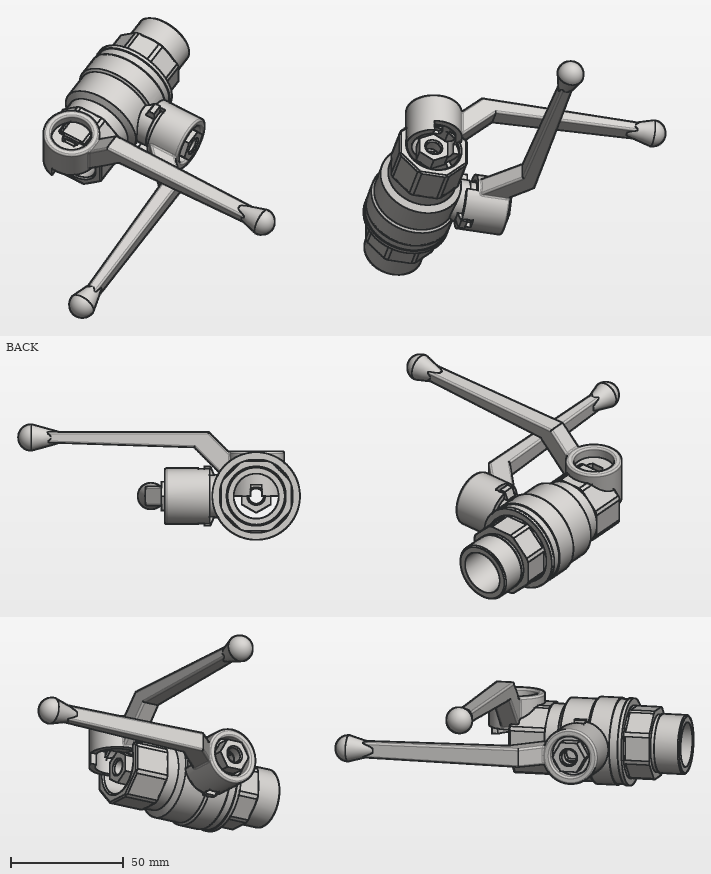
import cadquery as cq
import math


female_end_y = -34.7
female_octagon_y = -18.2
neck_y = -12.4
shoulder_y = -10.5
barrel_y = 2.0
collar_y = 3.0
band_y = 12.5
joint_y = 16.4
flange_y = 18.2
male_octagon_y = 30.0
relief_y = 31.6
male_end_y = 43.0

flow_bore_d = 20.0
thread_bore_d = 24.1
thread_bore_depth = 14.9
thread_bore_chamfer = 0.7
neck_d = 31.0
barrel_d = 37.0
band_d = 38.0
collar_d = 39.0
nipple_d = 26.5
relief_d = 25.9
nipple_chamfer = 0.6

octagon_flats = neck_d
octagon_corner_d = 32.8
octagon_bevel = 0.7

boss_d = 19.0
boss_tip_d = 18.0
boss_step_x = 23.1
lug_width = 5.0
lug_reach = 13.3
lug_crest_x = 20.4
lug_root_x = 18.2
lug_root_z = 8.2

cap_d = 25.0
cap_height = 20.0
floor_thickness = 5.0
recess_depth = 4.9
recess_d = 18.0
rim_fillet = 0.9
skirt_bore_d = 19.7
skirt_bore_depth = cap_height - recess_depth - floor_thickness
notch_height = 5.0
notch_offset = lug_width / 2
stem_hole_d = 8.0
stem_hole_flats = 5.5

arm_root_u = 10.7
arm_top_w = 28.6
arm_upper_bend_u = 21.2
arm_lower_bend_u = 27.5
arm_lower_bend_w = 21.6
arm_end_u = 95.3
arm_end_w = 23.8
arm_root_width = 8.8
arm_end_width = 7.0
arm_fillet = 0.9

knob_d = 11.9
knob_end_u = 105.9
knob_w = 26.0
knob_neck_u = 88.2
knob_neck_d = 5.4

nut_flats = 13.0
nut_height = 6.4
nut_hole_d = 6.7
nut_hole_mouth_d = 8.0

handle_x = 20.7
spare_handle_y = -34.9
fitted_handle_plane = cq.Plane(origin=(handle_x, 0, 0), xDir=(0, -1, 0), normal=(1, 0, 0))
spare_handle_plane = cq.Plane(origin=(0, spare_handle_y, 0), xDir=(1, 0, 0), normal=(0, 0, 1))

cap_floor_w = cap_height - recess_depth
fitted_nut_plane = cq.Plane(origin=(handle_x + cap_floor_w, 0, 0), xDir=(0, 1, 0), normal=(1, 0, 0))
spare_nut_plane = cq.Plane(origin=(0, female_end_y, 0), xDir=(0, 0, 1), normal=(0, 1, 0))


def turned(profile):
    """Solid of revolution about Y from (diameter, y) points, closed along the axis."""
    points = [(diameter / 2, y) for diameter, y in profile]
    outline = [(0, points[0][1])] + points + [(0, points[-1][1])]
    return cq.Workplane("XY").polyline(outline).close().revolve(360, (0, 0), (0, 1))


def octagon(flats_start, flats_end, y_start, y_end):
    """Octagonal prism or frustum along Y, with a flat on top."""
    to_corner = 1 / math.cos(math.pi / 8)
    plane = cq.Plane(origin=(0, y_start, 0), xDir=(1, 0, 0), normal=(0, 1, 0))
    start = cq.Workplane(plane.rotated((0, 0, 180 / 8))).polygon(8, flats_start * to_corner)
    end = start.workplane(offset=y_end - y_start).polygon(8, flats_end * to_corner)
    return end.loft(ruled=True)


def turned_corners(y_start, y_end):
    """Round blank that limits the corners of an octagon."""
    return turned([(octagon_corner_d, y_start), (octagon_corner_d, y_end)])


def make_housing():
    body = turned([
        (neck_d, female_octagon_y),
        (neck_d, neck_y),
        (barrel_d, shoulder_y),
        (barrel_d, barrel_y),
        (collar_d, collar_y),
        (collar_d, band_y),
        (band_d, band_y),
        (band_d, joint_y),
    ])

    bevel_y = female_end_y + octagon_bevel
    grip = octagon(octagon_flats, octagon_flats, bevel_y, female_octagon_y)
    end_flats = octagon_flats - 2 * octagon_bevel
    grip = grip.union(octagon(end_flats, octagon_flats, female_end_y, bevel_y))
    body = body.union(grip.intersect(turned_corners(female_end_y, female_octagon_y)))

    boss_end_x = handle_x + skirt_bore_depth
    boss = cq.Workplane("YZ").circle(boss_d / 2).extrude(boss_step_x)
    boss = boss.union(cq.Workplane("YZ").circle(boss_tip_d / 2).extrude(boss_end_x))

    lug_outline = [
        (lug_root_x, lug_root_z),
        (lug_crest_x, lug_reach),
        (boss_step_x, lug_reach),
        (boss_step_x, lug_root_z),
    ]
    lug = cq.Workplane("XZ").polyline(lug_outline).close().extrude(lug_width / 2, both=True)
    body = body.union(boss).union(lug).union(lug.mirror("XY"))

    mouth_d = thread_bore_d + 2 * thread_bore_chamfer
    bore = turned([
        (mouth_d, female_end_y),
        (thread_bore_d, female_end_y + thread_bore_chamfer),
        (thread_bore_d, female_end_y + thread_bore_depth),
        (flow_bore_d, female_end_y + thread_bore_depth),
        (flow_bore_d, joint_y),
    ])
    return body.cut(bore)


def make_end_piece():
    body = turned([
        (collar_d, joint_y),
        (collar_d, flange_y),
        (relief_d, flange_y),
        (relief_d, relief_y),
        (nipple_d, relief_y),
        (nipple_d, male_end_y - nipple_chamfer),
        (nipple_d - 2 * nipple_chamfer, male_end_y),
    ])

    flare_y = flange_y + octagon_bevel
    grip = octagon(octagon_flats, octagon_flats, flare_y, male_octagon_y)
    root_flats = octagon_flats + 2 * octagon_bevel
    grip = grip.union(octagon(root_flats, octagon_flats, flange_y, flare_y))
    body = body.union(grip.intersect(turned_corners(flange_y, male_octagon_y)))

    return body.cut(turned([(flow_bore_d, joint_y), (flow_bore_d, male_end_y)]))


def make_arm():
    """Cranked arm: a 45 degree rise, then a straight grip that tapers both ways."""
    rise = arm_upper_bend_u - arm_root_u
    drop = arm_lower_bend_u - arm_root_u
    side_outline = [
        (arm_root_u, arm_top_w - rise),
        (arm_upper_bend_u, arm_top_w),
        (arm_end_u, arm_top_w),
        (arm_end_u, arm_end_w),
        (arm_lower_bend_u, arm_lower_bend_w),
        (arm_root_u, arm_lower_bend_w - drop),
    ]
    width_outline = [
        (arm_root_u, -arm_root_width / 2),
        (arm_end_u, -arm_end_width / 2),
        (arm_end_u, arm_end_width / 2),
        (arm_root_u, arm_root_width / 2),
    ]
    side = cq.Workplane("XZ").polyline(side_outline).close().extrude(arm_root_width, both=True)
    plan = cq.Workplane("XY").polyline(width_outline).close().extrude(arm_top_w)
    arm = side.intersect(plan)
    return arm.faces("<Y or >Y").edges().fillet(arm_fillet)


def make_knob():
    """Ball on a cone that grows out of the end of the arm."""
    radius = knob_d / 2
    centre_u = knob_end_u - radius
    arc_mid = (centre_u + radius * math.sqrt(0.5), knob_w + radius * math.sqrt(0.5))
    outline = (
        cq.Workplane("XZ")
        .moveTo(knob_neck_u, knob_w)
        .lineTo(knob_neck_u, knob_w + knob_neck_d / 2)
        .lineTo(centre_u, knob_w + radius)
        .threePointArc(arc_mid, (knob_end_u, knob_w))
        .close()
    )
    return outline.revolve(360, (0, knob_w), (1, knob_w))


def make_handle():
    cap = cq.Workplane("XY").circle(cap_d / 2).extrude(cap_height)
    cap = cap.cut(cq.Workplane("XY").workplane(offset=cap_floor_w).circle(recess_d / 2).extrude(recess_depth))
    cap = cap.faces(">Z").edges().fillet(rim_fillet)
    handle = cap.union(make_arm())

    low_corner = (arm_root_u, -arm_root_width, 0)
    high_corner = (cap_d / 2, arm_root_width, cap_height)
    arm_root = cq.selectors.BoxSelector(low_corner, high_corner)
    handle = handle.edges("|Z").edges(arm_root).fillet(arm_fillet)
    handle = handle.union(make_knob())

    handle = handle.cut(cq.Workplane("XY").circle(skirt_bore_d / 2).extrude(skirt_bore_depth))

    notch = cq.Workplane("XY").box(cap_d, cap_d, notch_height, centered=False)
    handle = handle.cut(notch.translate((-notch_offset, notch_offset - cap_d, 0)))
    slot = cq.Workplane("XY").box(2 * notch_offset, cap_d, notch_height, centered=(True, False, False))
    handle = handle.cut(slot)

    flats = cq.Workplane("XY").rect(stem_hole_d, stem_hole_flats).extrude(cap_height)
    stem_hole = cq.Workplane("XY").circle(stem_hole_d / 2).extrude(cap_height).intersect(flats)
    return handle.cut(stem_hole)


def make_nut():
    corner_d = nut_flats / math.cos(math.pi / 6)
    nut = cq.Workplane("XY").polygon(6, corner_d).extrude(nut_height)
    nut = nut.cut(cq.Workplane("XY").circle(nut_hole_d / 2).extrude(nut_height))
    return nut.edges("%CIRCLE").chamfer((nut_hole_mouth_d - nut_hole_d) / 2)


def placed(body, plane):
    return cq.Workplane(body.val().moved(plane.location))


housing = make_housing()
end_piece = make_end_piece()
nuts = [placed(make_nut(), plane) for plane in (fitted_nut_plane, spare_nut_plane)]

fitted_handle = placed(make_handle(), fitted_handle_plane)
spare_handle = placed(make_handle(), spare_handle_plane).cut(housing)

bodies = [housing, end_piece, fitted_handle, spare_handle] + nuts
result = cq.Compound.makeCompound([body.solids().val() for body in bodies])